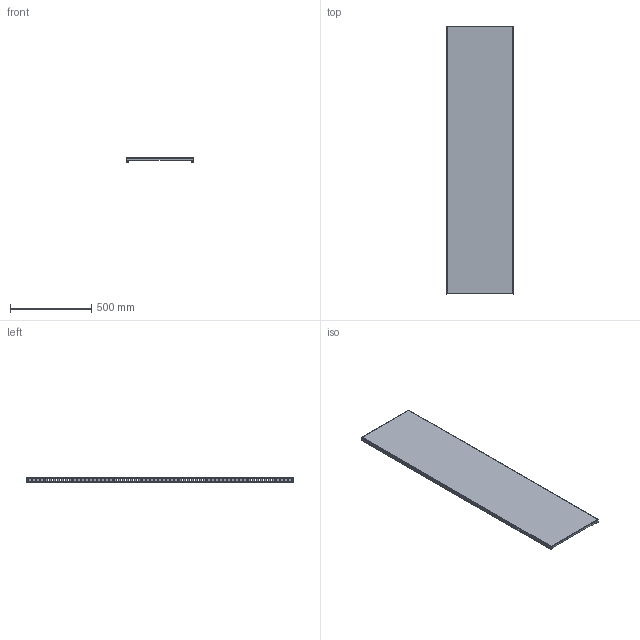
import cadquery as cq

width = 412.0
length = 1650.0
height = 25.0

sheet = 2.0
outer_bend_radius = 3.0
inner_bend_radius = outer_bend_radius - sheet
lip_width = 15.0
lip_end_setback = sheet
end_flange_height = 15.0
corner_gap = 0.5

slot_pitch = 25.0
slot_count = round(length / slot_pitch)
slot_width = 9.0
slot_height = 2 * slot_width


def block(size_x, size_y, bottom, top):
    """Box centred on the Z axis between two heights."""
    return cq.Workplane("XY", origin=(0, 0, bottom)).box(
        size_x, size_y, top - bottom, centered=(True, True, False)
    )


def side_bent_block(inset, radius):
    """Full-length block, inset across X and Z, with its four long edges bent."""
    return block(width - 2 * inset, length, inset, height - inset).edges("|Y").fillet(radius)


def end_bent_block(inset, radius):
    """Block inset from the ends and the top, with its two upper cross edges bent."""
    blank = block(width, length - 2 * inset, 0, height - inset)
    return blank.edges("|X and >Z").fillet(radius)


def folded_panel():
    """Deck with two lipped side walls, and a shorter flange turned down at each end."""
    flange_bottom = height - end_flange_height
    outside = side_bent_block(0, outer_bend_radius).intersect(end_bent_block(0, outer_bend_radius))

    channel = side_bent_block(sheet, inner_bend_radius)
    between_flanges = channel.intersect(end_bent_block(sheet, inner_bend_radius))
    below_flanges = channel.intersect(block(width, length, 0, flange_bottom))

    return outside.cut(between_flanges).cut(below_flanges)


def lip_opening():
    """Open underside between the two lips turned inward from the side walls."""
    return block(width - 2 * lip_width, length, 0, sheet)


def lip_setback(end):
    """Space that stops both lips short of one end of the panel (end is -1 or +1)."""
    space = block(width - 2 * sheet, lip_end_setback, 0, outer_bend_radius)
    return space.translate((0, end * (length - lip_end_setback) / 2, 0))


def corner_slit(side, end):
    """Narrow slit, below the bends, that parts an end flange from a side wall."""
    slit_x = side * (width / 2 - sheet - corner_gap / 2)
    slit_y = end * (length - outer_bend_radius) / 2
    slit = block(corner_gap, outer_bend_radius, 0, height - outer_bend_radius)
    return slit.translate((slit_x, slit_y, 0))


def side_slots():
    """Slots centred on the wall height, passing through both side walls."""
    return (
        cq.Workplane("YZ", origin=(0, 0, height / 2))
        .rarray(slot_pitch, 1, slot_count, 1)
        .slot2D(slot_height, slot_width, 90)
        .extrude(width / 2, both=True)
    )


result = folded_panel().cut(lip_opening())
for end in (-1, 1):
    result = result.cut(lip_setback(end))
    for side in (-1, 1):
        result = result.cut(corner_slit(side, end))
result = result.cut(side_slots())